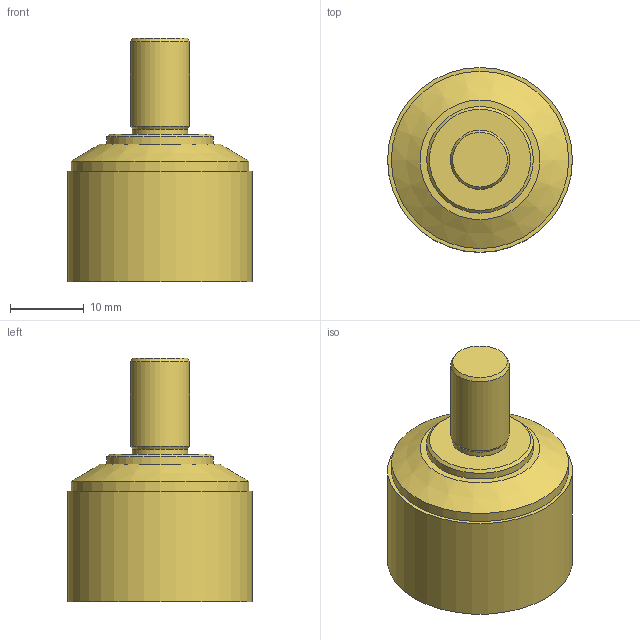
import cadquery as cq

base_top = 15.0
cap_rim_top = 16.35
cap_top = 18.66
flange_top = 20.0
shaft_bottom = 21.05
stud_top = 33.01

base_diameter = 25.0

cap_rim_diameter = 24.0
cap_top_diameter = 16.2

flange_diameter = 14.43
flange_chamfer = 0.37
neck_diameter = 7.53
shaft_diameter = 8.0
neck_taper_height = 0.36
tip_chamfer_height = 0.5
tip_chamfer_width = 0.3


def revolve_about_z(outline):
    """Turn a closed outline of (radius, height) points into a solid about the Z axis."""
    axis_start = (0, 0)
    axis_end = (0, 1)
    return cq.Workplane("XZ").polyline(outline).close().revolve(360, axis_start, axis_end)


def make_base():
    """Plain cylinder standing on the XY plane."""
    return cq.Workplane("XY").circle(base_diameter / 2).extrude(base_top)


def make_cap():
    """Conical cap resting on the base."""
    rim_radius = cap_rim_diameter / 2
    return revolve_about_z([
        (0, base_top),
        (rim_radius, base_top),
        (rim_radius, cap_rim_top),
        (cap_top_diameter / 2, cap_top),
        (0, cap_top),
    ])


def make_stud():
    """Flanged stud resting on the cap, with an undercut neck and a chamfered tip."""
    flange_radius = flange_diameter / 2
    neck_radius = neck_diameter / 2
    shaft_radius = shaft_diameter / 2
    return revolve_about_z([
        (0, cap_top),
        (flange_radius, cap_top),
        (flange_radius, flange_top - flange_chamfer),
        (flange_radius - flange_chamfer, flange_top),
        (neck_radius, flange_top),
        (neck_radius, shaft_bottom - neck_taper_height),
        (shaft_radius, shaft_bottom),
        (shaft_radius, stud_top - tip_chamfer_height),
        (shaft_radius - tip_chamfer_width, stud_top),
        (0, stud_top),
    ])


base = make_base()
cap = make_cap()
stud = make_stud()

result = cq.Compound.makeCompound([base.val(), cap.val(), stud.val()])